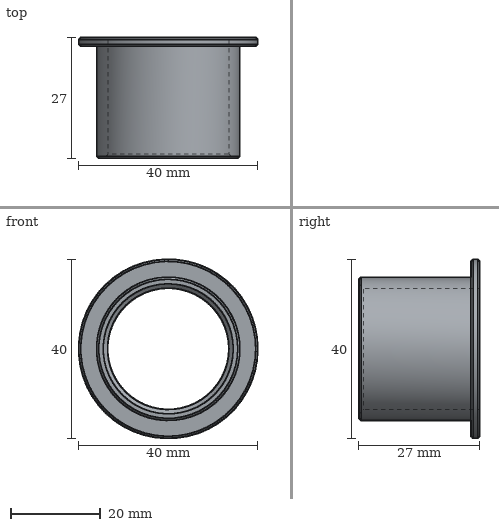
import cadquery as cq

flange_diameter = 40.0
flange_thickness = 2.0
sleeve_diameter = 32.0
bore_diameter = 27.0
length = 27.0
edge_chamfer = flange_thickness / 4
bore_chamfer = 1.0


def disc(diameter, thickness):
    """Cylinder growing from the flange face (Y = 0) toward -Y."""
    return cq.Workplane("XZ").circle(diameter / 2).extrude(thickness)


flange = disc(flange_diameter, flange_thickness).edges().chamfer(edge_chamfer)

sleeve = disc(sleeve_diameter, length).faces("<Y").edges().chamfer(edge_chamfer)

bushing = flange.union(sleeve).cut(disc(bore_diameter, length))
bore_mouth = bushing.faces("<Y").edges(cq.selectors.RadiusNthSelector(0))
result = bore_mouth.chamfer(bore_chamfer)